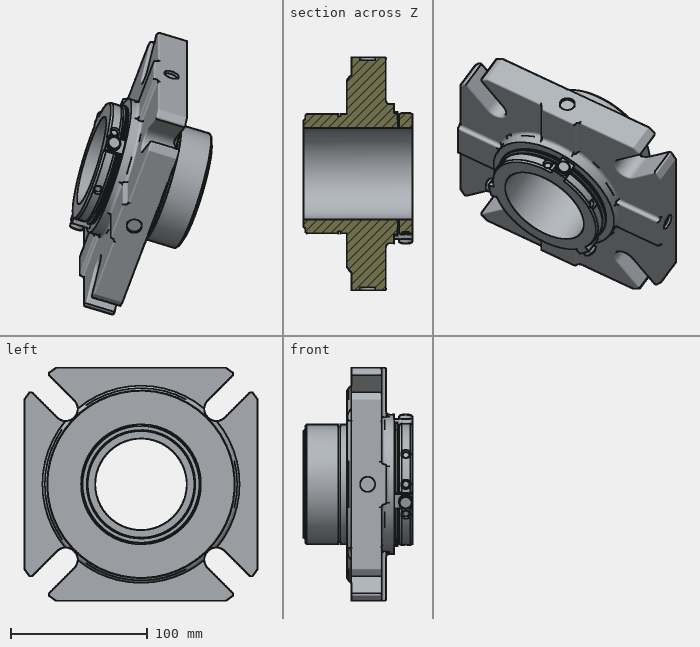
import cadquery as cq
import math


NOSE_STEP = 1.3
PILOT_FACE = 31.6
FLANGE_FACE = 34.9
LUG_BACK = 57.1
PAD_BACK = 60.4
HUB_BACK = 66.2
NECK_BACK = 67.5
DISC_BACK = 68.7
SPACER_BACK = 69.0
COLLAR_FRONT = 69.9
OVERALL_LENGTH = 79.64
COLLAR_MIDDLE = (COLLAR_FRONT + OVERALL_LENGTH) / 2

BORE_DIAMETER = 66.67
NOSE_FACE_DIAMETER = 77.78
NOSE_DIAMETER = 79.35
SLEEVE_DIAMETER = 87.63
SLEEVE_CHAMFER = 1.2
GROOVE_DIAMETER = 84.28
GROOVE_FRONT = 25.3
GROOVE_BACK = 27.0

DIAGONALS = (45, 135, 225, 315)
SIDE_ANGLES = (0, 90, 180, 270)
FLANGE_SIDE = 170.25
CORNER_START = 62.0
LUG_TIP = 67.3
LUG_TIP_DROP = 3.8
SLOT_WIDTH = 17.5
SLOT_CIRCLE_RADIUS = 77.8
PAD_WIDTH = 29.2
EDGE_RADIUS = 1.3
PAD_FOOT_RADIUS = PAD_BACK - LUG_BACK - EDGE_RADIUS
CORNER_RADIUS = 1.2
HUB_FILLET = 2.3
SIDE_HOLE_DIAMETER = 11.0
SIDE_HOLE_POSITION = 46.8
SIDE_HOLE_DEPTH = 2.2

PILOT_FACE_DIAMETER = 136.53
PILOT_DIAMETER = 137.16
PILOT_BEVEL = 0.4
BEAD_DIAMETER = 140.4
BEAD_FOOT_DIAMETER = 144.0
BEAD_CREST = 32.9

HUB_DIAMETER = 102.0
NECK_DIAMETER = 88.85
DISC_DIAMETER = 90.37
SPACER_DIAMETER = 79.35
INNER_SLEEVE_DIAMETER = 69.83

COLLAR_DIAMETER = 88.85
COLLAR_END_DIAMETER = 87.3
COLLAR_BEVEL_LENGTH = 1.8
SCREW_HOLE_DIAMETER = 4.92
SCREW_SINK_DIAMETER = 7.1
SCREW_SINK_DEPTH = 1.5
SCREW_HOLE_DEPTH = 1.8
SCREW_HOLE_ANGLES = (30, 90, 150, 180, 210, 270, 330)

CLIP_ANGLES = (75, 195, 315)
CLIP_WIDTH = 11.0
CLIP_INNER_RADIUS = 43.0
CLIP_OUTER_RADIUS = 47.9
BOLT_HEAD_DIAMETER = 10.0
BOLT_HEAD_TOP_RADIUS = 51.8
BOLT_HEAD_CHAMFER = 0.7


def cylinder(diameter, start, end):
    """Solid cylinder on the shaft axis."""
    return cq.Workplane("YZ").workplane(offset=start).circle(diameter / 2).extrude(end - start)


def about_shaft(shape, angle):
    """Turn a shape about the shaft axis; 0 degrees is +Y and 90 degrees is +Z."""
    return shape.rotate((0, 0, 0), (1, 0, 0), angle)


def bevelled_square(start, end):
    """Square plate whose corners carry a bevel and a small return toward the slot."""
    half = FLANGE_SIDE / 2
    quarter = [
        (half, CORNER_START),
        (half - LUG_TIP_DROP, LUG_TIP),
        (LUG_TIP, LUG_TIP),
        (LUG_TIP, half - LUG_TIP_DROP),
        (CORNER_START, half),
    ]
    outline = []
    for turn in range(4):
        cosine = round(math.cos(turn * math.pi / 2))
        sine = round(math.sin(turn * math.pi / 2))
        outline += [(y * cosine - z * sine, y * sine + z * cosine) for y, z in quarter]
    plate = cq.Workplane("YZ").workplane(offset=start).polyline(outline).close().extrude(end - start)
    return plate.edges("|X").fillet(CORNER_RADIUS)


def corner_slot():
    """Open bolt slot with a round inner end, along +Y before it is turned."""
    length = FLANGE_SIDE
    depth = PAD_BACK - PILOT_FACE
    plane = cq.Workplane("YZ").workplane(offset=PILOT_FACE)
    straight = plane.center(SLOT_CIRCLE_RADIUS + length / 2, 0).rect(length, SLOT_WIDTH).extrude(depth)
    round_end = plane.center(SLOT_CIRCLE_RADIUS, 0).circle(SLOT_WIDTH / 2).extrude(depth)
    return straight.union(round_end)


def rounded_plate(back):
    """Bevelled square from the flange face to the given back plane, slotted and rounded at the back."""
    plate = bevelled_square(FLANGE_FACE, back)
    for angle in DIAGONALS:
        plate = plate.cut(about_shaft(corner_slot(), angle))
    return plate.faces(">X").edges().fillet(EDGE_RADIUS)


def pad_bar():
    """Bar across the flange along Z, with rounded shoulders and flared feet, making two opposite pads."""
    shoulder = PAD_WIDTH / 2
    foot = shoulder + PAD_FOOT_RADIUS
    flat = shoulder - EDGE_RADIUS
    bend = math.sqrt(0.5)
    foot_middle = (LUG_BACK + PAD_FOOT_RADIUS * (1 - bend), foot - PAD_FOOT_RADIUS * bend)
    shoulder_middle = (PAD_BACK - EDGE_RADIUS * (1 - bend), flat + EDGE_RADIUS * bend)
    half = (
        cq.Workplane("XY")
        .moveTo(FLANGE_FACE, 0)
        .lineTo(FLANGE_FACE, foot)
        .lineTo(LUG_BACK, foot)
        .threePointArc(foot_middle, (LUG_BACK + PAD_FOOT_RADIUS, shoulder))
        .threePointArc(shoulder_middle, (PAD_BACK, flat))
        .lineTo(PAD_BACK, 0)
        .close()
        .extrude(FLANGE_SIDE / 2, both=True)
    )
    return half.union(half.mirror("XZ"))


def hub_fillet(base):
    """Concave ring blending the hub into a flat face at the given position."""
    radius = HUB_DIAMETER / 2
    bend = HUB_FILLET * (1 - math.sqrt(0.5))
    profile = (
        cq.Workplane("XY")
        .moveTo(base, radius - HUB_FILLET)
        .lineTo(base, radius + HUB_FILLET)
        .threePointArc((base + bend, radius + bend), (base + HUB_FILLET, radius))
        .lineTo(base + HUB_FILLET, radius - HUB_FILLET)
        .close()
    )
    return profile.revolve(360, (0, 0, 0), (1, 0, 0))


def flange():
    """Slotted square flange with raised middle pads, rounded back edges and the hub."""
    body = rounded_plate(LUG_BACK)
    tall_plate = rounded_plate(PAD_BACK)
    pad_fillet = hub_fillet(PAD_BACK)
    pad_top_width = PAD_WIDTH - 2 * EDGE_RADIUS
    pad_top = cq.Workplane("XY").box(2 * HUB_BACK, pad_top_width, FLANGE_SIDE)
    for angle in SIDE_ANGLES[:2]:
        body = body.union(tall_plate.intersect(about_shaft(pad_bar(), angle)))
        body = body.union(pad_fillet.intersect(about_shaft(pad_top, angle)))
    body = body.union(hub_fillet(LUG_BACK))
    body = body.union(cylinder(HUB_DIAMETER, FLANGE_FACE, HUB_BACK))
    for angle in SIDE_ANGLES:
        body = body.cut(about_shaft(side_hole(), angle))
    return body


def pilot():
    """Low disc in front of the flange, edged by the two-slope bead."""
    profile = (
        cq.Workplane("XY")
        .moveTo(FLANGE_FACE, 0)
        .lineTo(PILOT_FACE, 0)
        .lineTo(PILOT_FACE, PILOT_FACE_DIAMETER / 2)
        .lineTo(PILOT_FACE + PILOT_BEVEL, PILOT_DIAMETER / 2)
        .lineTo(BEAD_CREST, BEAD_DIAMETER / 2)
        .lineTo(FLANGE_FACE, BEAD_FOOT_DIAMETER / 2)
        .close()
    )
    disc = profile.revolve(360, (0, 0, 0), (1, 0, 0))
    for angle in DIAGONALS:
        disc = disc.cut(about_shaft(corner_slot(), angle))
    return disc


def side_hole():
    """Shallow round recess in the middle of the +Y flange side."""
    bottom = FLANGE_SIDE / 2 - SIDE_HOLE_DEPTH
    axis = cq.Vector(0, 1, 0)
    base = cq.Vector(SIDE_HOLE_POSITION, bottom, 0)
    return cq.Workplane(cq.Solid.makeCylinder(SIDE_HOLE_DIAMETER / 2, 2 * SIDE_HOLE_DEPTH, base, axis))


def sleeve():
    """Stepped sleeve in front of the pilot, with a bevelled shoulder and a shallow groove."""
    body = cylinder(SLEEVE_DIAMETER, NOSE_STEP, FLANGE_FACE).faces("<X").chamfer(SLEEVE_CHAMFER)
    groove = cylinder(SLEEVE_DIAMETER, GROOVE_FRONT, GROOVE_BACK)
    groove = groove.cut(cylinder(GROOVE_DIAMETER, GROOVE_FRONT, GROOVE_BACK))
    nose_bevel = (NOSE_DIAMETER - NOSE_FACE_DIAMETER) / 2
    nose = cylinder(NOSE_DIAMETER, 0, FLANGE_FACE).faces("<X").chamfer(nose_bevel)
    return body.cut(groove).union(nose)


def rear_rings():
    """Neck, retaining disc, spacer and inner sleeve between the hub and the collar."""
    rings = cylinder(INNER_SLEEVE_DIAMETER, FLANGE_FACE, OVERALL_LENGTH)
    rings = rings.union(cylinder(NECK_DIAMETER, HUB_BACK, NECK_BACK))
    rings = rings.union(cylinder(DISC_DIAMETER, NECK_BACK, DISC_BACK))
    return rings.union(cylinder(SPACER_DIAMETER, DISC_BACK, SPACER_BACK))


def screw_hole():
    """Countersunk radial screw hole entering the collar along -Y."""
    surface = COLLAR_DIAMETER / 2
    sink = surface - SCREW_SINK_DEPTH
    bottom = surface - SCREW_HOLE_DEPTH
    profile = (
        cq.Workplane("XY")
        .moveTo(0, bottom)
        .lineTo(SCREW_HOLE_DIAMETER / 2, bottom)
        .lineTo(SCREW_HOLE_DIAMETER / 2, sink)
        .lineTo(SCREW_SINK_DIAMETER / 2, surface)
        .lineTo(0, surface)
        .close()
    )
    return profile.revolve(360, (0, 0, 0), (0, 1, 0)).translate((COLLAR_MIDDLE, 0, 0))


def collar():
    """Drive collar with gently bevelled ends and radial screw holes."""
    drop = (COLLAR_DIAMETER - COLLAR_END_DIAMETER) / 2
    ring = cylinder(COLLAR_DIAMETER, COLLAR_FRONT, OVERALL_LENGTH)
    ring = ring.faces("<X").chamfer(COLLAR_BEVEL_LENGTH, drop)
    ring = ring.faces(">X").chamfer(COLLAR_BEVEL_LENGTH, drop)
    for angle in SCREW_HOLE_ANGLES:
        ring = ring.cut(about_shaft(screw_hole(), angle))
    return ring


def clip():
    """Setting clip on the +Y side: a flat block bridging disc and collar, held by a round bolt head."""
    length = OVERALL_LENGTH - HUB_BACK
    middle = (OVERALL_LENGTH + HUB_BACK) / 2
    thickness = CLIP_OUTER_RADIUS - CLIP_INNER_RADIUS
    block = cq.Workplane("XY").box(length, thickness, CLIP_WIDTH)
    block = block.translate((middle, (CLIP_OUTER_RADIUS + CLIP_INNER_RADIUS) / 2, 0))
    base = cq.Vector(OVERALL_LENGTH - BOLT_HEAD_DIAMETER / 2, CLIP_INNER_RADIUS, 0)
    height = BOLT_HEAD_TOP_RADIUS - CLIP_INNER_RADIUS
    head = cq.Solid.makeCylinder(BOLT_HEAD_DIAMETER / 2, height, base, cq.Vector(0, 1, 0))
    bolt = cq.Workplane(head).faces(">Y").chamfer(BOLT_HEAD_CHAMFER)
    return block.union(bolt)


def seal():
    """Whole cartridge seal with its through bore."""
    body = flange().union(pilot()).union(sleeve()).union(rear_rings()).union(collar())
    for angle in CLIP_ANGLES:
        body = body.union(about_shaft(clip(), angle))
    return body.cut(cylinder(BORE_DIAMETER, 0, OVERALL_LENGTH))


result = seal()